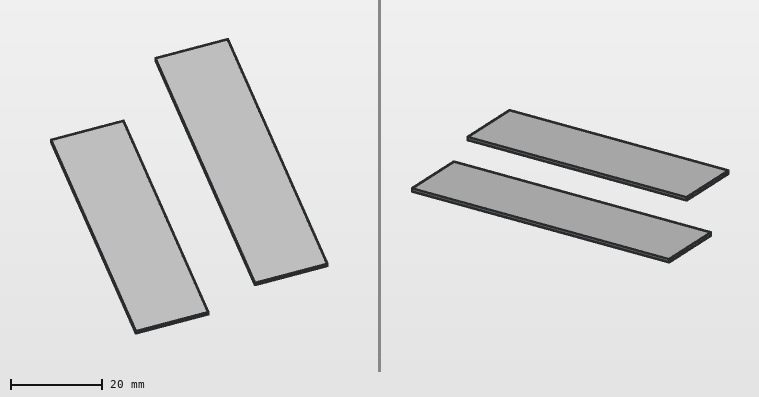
import cadquery as cq

overall_length = 71.5
overall_width = 45.6

plate_width = 16.65
plate_thickness = 0.8
long_plate_length = 67.0
short_plate_length = 57.1


def make_plate(length, left_x, front_y):
    """Flat rectangular plate resting on Z = 0 with its lower-left corner at the given place."""
    return (
        cq.Workplane("XY")
        .box(length, plate_width, plate_thickness, centered=False)
        .translate((left_x, front_y, 0))
    )


long_plate = make_plate(long_plate_length, 0, overall_width - plate_width)

short_plate = make_plate(short_plate_length, overall_length - short_plate_length, 0)

result = cq.Compound.makeCompound([long_plate.val(), short_plate.val()])